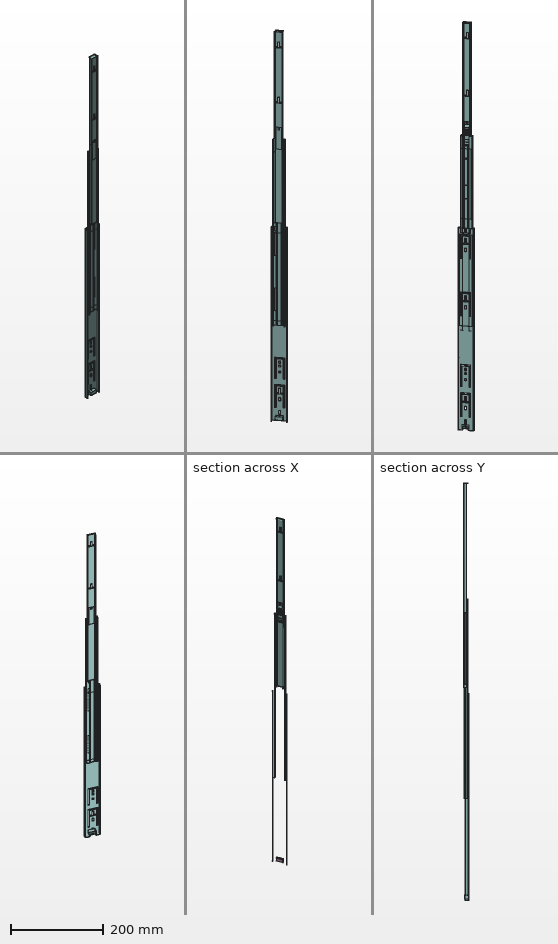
import cadquery as cq


SHEET = 1.2
CAGE_SHEET = 0.5
THROUGH = 40.0

TOTAL_HEIGHT = 907.0
OUTER_LENGTH = 450.0
MIDDLE_BOTTOM, MIDDLE_TOP = 222.0, 655.0
INNER_BOTTOM = 463.0

OUTER_DEPTH = 8.8
MIDDLE_BACK, MIDDLE_FRONT = 2.2, 11.0
INNER_BACK, TOTAL_DEPTH = 5.7, 12.7

OUTER_HALF = 35.98 / 2
MIDDLE_HALF = 13.65
INNER_HALF = 9.6

OUTER_BULGE = 0.5
OUTER_CORNER = 2.0
OUTER_RACE_BACK = 2.8
MIDDLE_BULGE = 0.7
MIDDLE_CORNER = 1.6
MIDDLE_RACE_BACK = 7.9
INNER_LIP_HALF = 8.4
INNER_FLARE_BACK = 8.4

RIB_RISE = 1.0
RIB_HALF_TOP, RIB_HALF_BASE = 4.2, 7.2

TONGUES = [(435.3, 53.0, True), (307.5, 53.0, True), (146.0, 49.0, False), (83.0, 53.0, True)]
TONGUE_HALF = 10.9
TONGUE_CUT = 2.9
CROSS_DROP = 20.0
HOLE_DROP = 33.5
HOLE_WIDTH, HOLE_HEIGHT = 4.4, 8.0
PAIR_DROPS = (19.5, 33.0)
SHORT_SLOT_DROP, SHORT_SLOT_LENGTH = 10.5, 5.0

SLOT_WIDTH = 3.6
SLOT_LENGTH = 11.0
CROSS_SLOT_HEIGHT = 2.4

TOP_NOTCH_HALF, TOP_NOTCH_DEPTH = 10.9, 10.5
BOTTOM_NOTCH_HALF, BOTTOM_NOTCH_FLARE, BOTTOM_NOTCH_DEPTH = 6.0, 1.6, 8.2
OUTER_SLOT_Z, OUTER_SLOT_LENGTH = 19.0, 9.0
INNER_CROSS_ZS = (871.0, 742.7)
INNER_CROSS_HALF = 6.0
TOP_TAB_BACK = 3.0
MIDDLE_NOTCH_DEPTH = 22.0
MIDDLE_WINDOW_Z, MIDDLE_WINDOW_HEIGHT = 530.0, 30.0
MIDDLE_SLOT_Z, MIDDLE_SLOT_HEIGHT = 604.5, 2.8

BUMPER_BOTTOM, BUMPER_TOP = 3.5, 12.0
BUMPER_HALF, BUMPER_FRONT = 8.0, 10.0
BUMPER_GROOVE = 2.0

LEVER_BOTTOM, LEVER_TOP = 634.0, 685.0
LEVER_HALF, LEVER_THICKNESS = 5.8, 2.0
LEVER_RISE = 2.0
LEVER_RAMP_TOP, LEVER_RAMP_BOTTOM = 679.0, 673.0
LEVER_GRIP_BOTTOM = 669.0
GRIP_RIDGES, GRIP_RIDGE, GRIP_PITCH = 5, 1.4, 2.8
LEVER_RIDGE_BOTTOM, LEVER_RIDGE_TOP = 640.0, 645.8
LEVER_SLOT_TOP = 683.0

OUTER_CAGE_BOTTOM, OUTER_CAGE_TOP = 232.0, 436.0
INNER_CAGE_BOTTOM, INNER_CAGE_TOP = 470.0, 626.0
CAGE_DEPTH = 4.5
OUTER_CAGE_HALF = 14.8
INNER_CAGE_HALF = 11.3


def box(x_range, half_y, z_range, center_y=0.0):
    """Box between two depths and two heights, half_y to each side of center_y."""
    size_x = x_range[1] - x_range[0]
    size_z = z_range[1] - z_range[0]
    block = cq.Workplane("XY").box(size_x, 2 * half_y, size_z, centered=(False, True, False))
    return block.translate((x_range[0], center_y, z_range[0]))


def slot_through_web(half_y, center_z, height):
    """Rectangular cutter through a rail web."""
    return box((-THROUGH, THROUGH), half_y, (center_z - height / 2, center_z + height / 2))


def t_opening(half_y, cross_z):
    """Crosswise slot with an upright slot standing on its middle."""
    cross = slot_through_web(half_y, cross_z, CROSS_SLOT_HEIGHT)
    upright_z = cross_z + (CROSS_SLOT_HEIGHT + SLOT_LENGTH) / 2
    return cross.union(slot_through_web(SLOT_WIDTH / 2, upright_z, SLOT_LENGTH))


def side_curve(back, race_back, front, half, bulge, corner):
    """Closed rail outline: flat web, rounded web corners and sides that bulge from race_back on."""
    flat_half = half - bulge
    race_middle = (race_back + front) / 2
    return (
        cq.Workplane("XY")
        .moveTo(back, -(flat_half - corner))
        .radiusArc((back + corner, -flat_half), -corner)
        .lineTo(race_back, -flat_half)
        .threePointArc((race_middle, -half), (front, -flat_half))
        .lineTo(front, flat_half)
        .threePointArc((race_middle, half), (race_back, flat_half))
        .lineTo(back + corner, flat_half)
        .radiusArc((back, flat_half - corner), -corner)
        .close()
    )


def channel(back, race_back, front, half, bulge, corner, length):
    """Sheet channel with its web at the back, open at the front between two curled lips."""
    body = side_curve(back, race_back, front, half, bulge, corner).extrude(length)
    cavity = side_curve(
        back + SHEET, race_back, front - SHEET, half - SHEET, bulge, corner - SHEET
    ).extrude(length)
    mouth = box((front - 2 * SHEET, front + SHEET), half - bulge - SHEET, (0, length))
    return body.cut(cavity).cut(mouth)



def tongue_cut(top, length):
    """U-shaped cut, open at the bottom, that frees a mounting tongue in the web."""
    leg_y = TONGUE_HALF - TONGUE_CUT / 2
    depth = (0, SHEET)
    cut = box(depth, TONGUE_HALF, (top - TONGUE_CUT, top))
    for side in (-1, 1):
        cut = cut.union(box(depth, TONGUE_CUT / 2, (top - length, top), side * leg_y))
    return cut


def screw_hole(z, height):
    """Cutter for a screw hole, round or stretched upright, through the outer rail web."""
    sketch = cq.Workplane("YZ").center(0, z)
    if height > HOLE_WIDTH:
        return sketch.slot2D(height, HOLE_WIDTH, 90).extrude(SHEET)
    return sketch.circle(HOLE_WIDTH / 2).extrude(SHEET)


def bottom_notch():
    """Cutter for the notch at the foot of the outer rail web, flared where it opens."""
    wide = BOTTOM_NOTCH_HALF + BOTTOM_NOTCH_FLARE
    return (
        cq.Workplane("YZ")
        .polyline([
            (-wide, 0), (wide, 0),
            (BOTTOM_NOTCH_HALF, BOTTOM_NOTCH_FLARE), (BOTTOM_NOTCH_HALF, BOTTOM_NOTCH_DEPTH),
            (-BOTTOM_NOTCH_HALF, BOTTOM_NOTCH_DEPTH), (-BOTTOM_NOTCH_HALF, BOTTOM_NOTCH_FLARE),
        ])
        .close()
        .extrude(SHEET)
    )


def make_outer_rail():
    rail = channel(
        0, OUTER_RACE_BACK, OUTER_DEPTH, OUTER_HALF, OUTER_BULGE, OUTER_CORNER, OUTER_LENGTH
    )
    tongue_inner_half = TONGUE_HALF - TONGUE_CUT
    for top, length, has_t_opening in TONGUES:
        rail = rail.cut(tongue_cut(top, length))
        if has_t_opening:
            rail = rail.cut(t_opening(tongue_inner_half - SHEET, top - CROSS_DROP))
            rail = rail.cut(screw_hole(top - HOLE_DROP, HOLE_HEIGHT))
        else:
            short_slot_z = top - SHORT_SLOT_DROP
            rail = rail.cut(slot_through_web(SLOT_WIDTH / 2, short_slot_z, SHORT_SLOT_LENGTH))
            for drop in PAIR_DROPS:
                rail = rail.cut(screw_hole(top - drop, HOLE_WIDTH))
    rail = rail.cut(slot_through_web(SLOT_WIDTH / 2, OUTER_SLOT_Z, OUTER_SLOT_LENGTH))
    notch_bottom = OUTER_LENGTH - TOP_NOTCH_DEPTH
    rail = rail.cut(box((0, SHEET), TOP_NOTCH_HALF, (notch_bottom, OUTER_LENGTH)))
    return rail.cut(bottom_notch())



def rib_profile(base_x):
    """Trapezoid that rises from base_x towards the front."""
    top_x = base_x + RIB_RISE
    return cq.Workplane("XY").polyline([
        (base_x, -RIB_HALF_BASE), (top_x, -RIB_HALF_TOP),
        (top_x, RIB_HALF_TOP), (base_x, RIB_HALF_BASE),
    ]).close()


def make_middle_rail():
    length = MIDDLE_TOP - MIDDLE_BOTTOM
    rail = channel(
        MIDDLE_BACK, MIDDLE_RACE_BACK, MIDDLE_FRONT, MIDDLE_HALF, MIDDLE_BULGE, MIDDLE_CORNER, length
    )
    rail = rail.union(rib_profile(MIDDLE_BACK + SHEET).extrude(length))
    rail = rail.cut(rib_profile(MIDDLE_BACK).extrude(length))
    rail = rail.translate((0, 0, MIDDLE_BOTTOM))
    rail = rail.cut(slot_through_web(RIB_HALF_BASE, MIDDLE_TOP, 2 * MIDDLE_NOTCH_DEPTH))
    rail = rail.cut(slot_through_web(RIB_HALF_TOP, MIDDLE_WINDOW_Z, MIDDLE_WINDOW_HEIGHT))
    return rail.cut(slot_through_web(RIB_HALF_TOP, MIDDLE_SLOT_Z, MIDDLE_SLOT_HEIGHT))



def inner_outline(front, lip_half, front_half):
    """Closed outline with straight lips at the back and sides that flare towards the front."""
    return cq.Workplane("XY").polyline([
        (INNER_BACK, -lip_half), (INNER_FLARE_BACK, -lip_half), (front, -front_half),
        (front, front_half), (INNER_FLARE_BACK, lip_half), (INNER_BACK, lip_half),
    ]).close()


def make_inner_rail():
    length = TOTAL_HEIGHT - INNER_BOTTOM
    trough_half = INNER_LIP_HALF - SHEET
    rail = inner_outline(TOTAL_DEPTH, INNER_LIP_HALF, INNER_HALF).extrude(length)
    trough = inner_outline(TOTAL_DEPTH - SHEET, trough_half, INNER_HALF - 2 * SHEET)
    rail = rail.cut(trough.extrude(length)).translate((0, 0, INNER_BOTTOM))
    tab_z = (TOTAL_HEIGHT - SHEET, TOTAL_HEIGHT)
    rail = rail.union(box((TOP_TAB_BACK, TOTAL_DEPTH), INNER_LIP_HALF, tab_z))
    for cross_z in INNER_CROSS_ZS:
        rail = rail.cut(t_opening(INNER_CROSS_HALF, cross_z))
    return rail



def make_cage(web_back, half, bottom, top):
    """U-shaped strip whose two sides lie in the gap between a pair of rails."""
    front = web_back + CAGE_DEPTH
    cage = box((web_back, front), half, (bottom, top))
    return cage.cut(box((web_back + CAGE_SHEET, front), half - CAGE_SHEET, (bottom, top)))



def make_release_lever():
    seat = TOTAL_DEPTH - SHEET
    face = seat - LEVER_THICKNESS
    raised = face - LEVER_RISE
    lever = (
        cq.Workplane("XZ")
        .polyline([
            (seat, LEVER_BOTTOM), (seat, LEVER_TOP),
            (face, LEVER_TOP), (face, LEVER_RAMP_TOP),
            (raised, LEVER_RAMP_BOTTOM), (raised, LEVER_GRIP_BOTTOM),
            (face, LEVER_GRIP_BOTTOM), (face, LEVER_BOTTOM),
        ])
        .close()
        .extrude(LEVER_HALF, both=True)
    )
    ridge_bands = [(LEVER_RIDGE_BOTTOM, LEVER_RIDGE_TOP)]
    for index in range(1, GRIP_RIDGES + 1):
        ridge_bottom = LEVER_GRIP_BOTTOM - index * GRIP_PITCH
        ridge_bands.append((ridge_bottom, ridge_bottom + GRIP_RIDGE))
    for band in ridge_bands:
        lever = lever.union(box((raised, face), LEVER_HALF, band))
    slot_z = (LEVER_RAMP_TOP, LEVER_SLOT_TOP)
    return lever.cut(box((face, seat), SLOT_WIDTH / 2, slot_z))



def make_top_clip():
    """Plate that fills the notch at the top of the outer rail web."""
    bottom = OUTER_LENGTH - TOP_NOTCH_DEPTH
    clip = box((0, SHEET), TOP_NOTCH_HALF, (bottom, OUTER_LENGTH))
    slot = box((0, SHEET), SLOT_WIDTH / 2, (bottom, OUTER_LENGTH - SHEET))
    return clip.cut(slot)


def make_bottom_bumper():
    """Stop block that stands on the outer rail web above the bottom notch."""
    z_range = (BUMPER_BOTTOM, BUMPER_TOP)
    bumper = box((SHEET, BUMPER_FRONT), BUMPER_HALF, z_range)
    return bumper.cut(box((SHEET, SHEET + BUMPER_GROOVE), BUMPER_GROOVE / 2, z_range))


outer_cage_back = (SHEET + MIDDLE_BACK - CAGE_SHEET) / 2
inner_cage_back = (MIDDLE_BACK + SHEET + RIB_RISE + INNER_BACK - CAGE_SHEET) / 2

outer_rail = make_outer_rail()
middle_rail = make_middle_rail()
inner_rail = make_inner_rail()
outer_cage = make_cage(outer_cage_back, OUTER_CAGE_HALF, OUTER_CAGE_BOTTOM, OUTER_CAGE_TOP)
inner_cage = make_cage(inner_cage_back, INNER_CAGE_HALF, INNER_CAGE_BOTTOM, INNER_CAGE_TOP)
release_lever = make_release_lever()
top_clip = make_top_clip()
bottom_bumper = make_bottom_bumper()

result = cq.Compound.makeCompound([
    outer_rail.val(),
    middle_rail.val(),
    inner_rail.val(),
    outer_cage.val(),
    inner_cage.val(),
    release_lever.val(),
    top_clip.val(),
    bottom_bumper.val(),
])